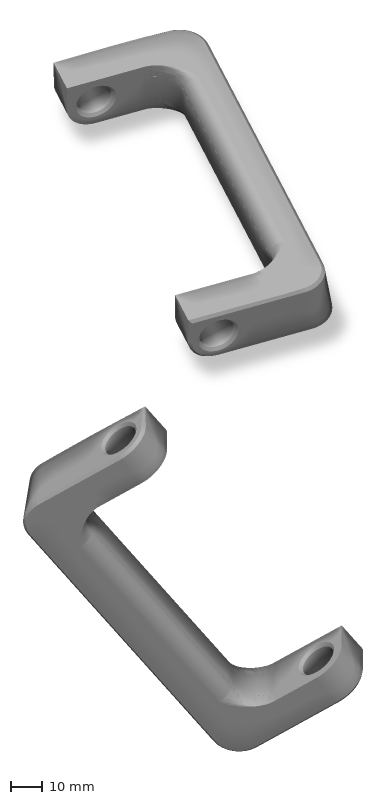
import cadquery as cq
import math

length = 123.4
depth = 52.3
height = 20.0
leg_width = 12.8
bar_depth = 16.0
edge_chamfer = 1.0
fade_power = 3
hole_diameter = 12.0
draft_angle = 8.0

draft_slope = math.tan(math.radians(draft_angle))
base_depth = depth + edge_chamfer * draft_slope
corner_radius = height / 2
end_radius = height / 2
grip_radius = height / 4
bar_front = base_depth - bar_depth
inner_half = length / 2 - leg_width
hole_y = height / 2
hole_z = height / 2

clearance = 2.5
wall_overlap = 0.02
corner_sections = 9
profile_steps = 6


def outer_body():
    """Full block with a leaning back, rounded back corners and rounded lower front ends."""
    lean = height * draft_slope
    half = length / 2
    outline = (
        cq.Sketch()
        .push([(0, base_depth / 2 - corner_radius)])
        .rect(length, base_depth + 2 * corner_radius)
        .reset()
        .vertices()
        .fillet(corner_radius)
    )
    body = (
        cq.Workplane("XY")
        .placeSketch(outline, outline.moved(cq.Location(cq.Vector(0, -lean, height))))
        .loft(ruled=True)
    )
    side_profile = (
        cq.Workplane("YZ")
        .moveTo(0, height)
        .lineTo(0, end_radius)
        .radiusArc((end_radius, 0), -end_radius)
        .lineTo(base_depth, 0)
        .lineTo(base_depth, height)
        .close()
        .extrude(half, both=True)
    )
    body = body.intersect(side_profile)
    body = body.faces(">Z").edges(">Y").chamfer(edge_chamfer)
    return body.faces("<Z").edges(">Y").chamfer(edge_chamfer)


def finger_opening():
    """Space between the legs, with rounded inner corners."""
    return (
        cq.Workplane("XY")
        .center(0, (bar_front - corner_radius) / 2)
        .rect(2 * inner_half, bar_front + corner_radius)
        .extrude(height)
        .edges("|Z and >Y")
        .fillet(corner_radius)
    )


def rounding_section(plane, reach):
    """Closed section above the quarter-round; reach is its horizontal extent into the grip."""
    curve = []
    for step in range(profile_steps + 1):
        angle = math.pi / 2 * step / profile_steps
        across = wall_overlap + reach * (1 - math.cos(angle))
        curve.append((across, height - grip_radius * (1 - math.sin(angle))))
    end_x = curve[-1][0]
    return (
        cq.Workplane(plane)
        .moveTo(-clearance, height - grip_radius)
        .lineTo(*curve[0])
        .spline(curve[1:], includeCurrent=True)
        .lineTo(end_x, height + clearance)
        .lineTo(-clearance, height + clearance)
        .close()
        .val()
    )


def corner_rounding():
    """Quarter-round whose reach fades to nothing around the right inner corner."""
    center_x = inner_half - corner_radius
    center_y = bar_front - corner_radius
    sections = []
    for index in range(corner_sections):
        turn = index / (corner_sections - 1)
        angle = math.pi / 2 * turn
        out_x = math.sin(angle)
        out_y = math.cos(angle)
        plane = cq.Plane(
            origin=(center_x + corner_radius * out_x, center_y + corner_radius * out_y, 0),
            xDir=(out_x, out_y, 0),
            normal=(out_y, -out_x, 0),
        )
        sections.append(rounding_section(plane, grip_radius * (1 - turn) ** fade_power))
    return cq.Workplane(cq.Solid.makeLoft(sections))


def bar_rounding():
    """Quarter-round along the upper front edge of the bar between the corners."""
    straight_half = inner_half - corner_radius
    start = cq.Plane(origin=(-straight_half, bar_front, 0), xDir=(0, 1, 0), normal=(1, 0, 0))
    return (
        cq.Workplane(start)
        .moveTo(-clearance, height - grip_radius)
        .lineTo(wall_overlap, height - grip_radius)
        .radiusArc((grip_radius + wall_overlap, height), grip_radius)
        .lineTo(grip_radius + wall_overlap, height + clearance)
        .lineTo(-clearance, height + clearance)
        .close()
        .extrude(2 * straight_half)
    )


def leg_bore():
    """Cross hole through the right leg, countersunk on both faces."""
    outer_x = length / 2
    radius = hole_diameter / 2
    sink_radius = radius + edge_chamfer
    profile = [
        (inner_half, 0),
        (inner_half, sink_radius),
        (inner_half + edge_chamfer, radius),
        (outer_x - edge_chamfer, radius),
        (outer_x, sink_radius),
        (outer_x, 0),
    ]
    bore = cq.Workplane("XY").polyline(profile).close().revolve(360, (0, 0, 0), (1, 0, 0))
    return bore.translate((0, hole_y, hole_z))


right_corner = corner_rounding()
right_bore = leg_bore()

result = outer_body().cut(finger_opening())
for upper_cut in (bar_rounding(), right_corner, right_corner.mirror("YZ")):
    lower_cut = upper_cut.mirror("XY", (0, 0, height / 2))
    result = result.cut(upper_cut).cut(lower_cut)
result = result.cut(right_bore).cut(right_bore.mirror("YZ"))